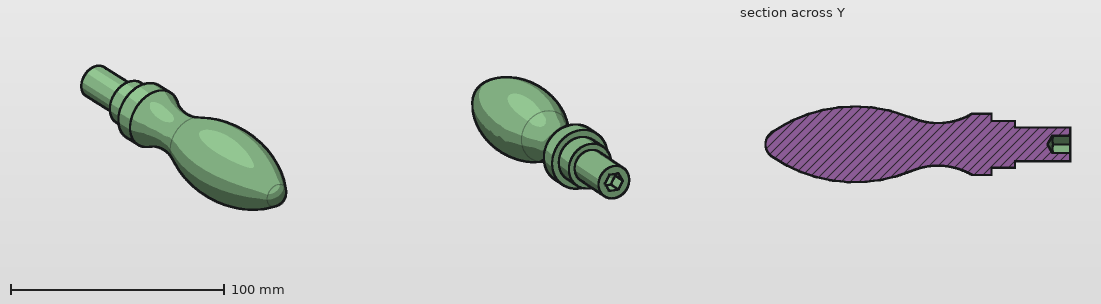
import cadquery as cq
import math

total_length = 143.0
belly_radius = 17.9
belly_x = 101.0

pin_radius = 8.0
pin_length = 25.9
shoulder_radius = 11.0
shoulder_end = 36.9
collar_radius = 14.5

neck_x = 62.0
neck_radius = 10.0
neck_curve = 31.5

socket_flats = 8.0
socket_depth = 8.0
socket_tip_angle = 120.0


def handle_body():
    """Revolve the stepped shank and the tangent neck, belly and tip arcs."""
    neck_center_r = neck_radius + neck_curve
    collar_drop = neck_center_r - collar_radius
    collar_end = neck_x - math.sqrt(neck_curve**2 - collar_drop**2)

    span = belly_x - neck_x
    rise = neck_center_r - belly_radius
    belly_curve = (span**2 + rise**2 - neck_curve**2) / (2 * (neck_curve - rise))
    belly_center_r = belly_radius - belly_curve
    blend = neck_curve / (neck_curve + belly_curve)
    blend_x = neck_x + span * blend
    blend_r = neck_center_r + (belly_center_r - neck_center_r) * blend

    reach = total_length - belly_x
    tip_radius = (belly_curve**2 - belly_center_r**2 - reach**2) / (2 * (belly_curve - reach))
    tip_center_x = total_length - tip_radius
    tip_angle = math.atan2(-belly_center_r, tip_center_x - belly_x)
    tip_start = (
        tip_center_x + tip_radius * math.cos(tip_angle),
        tip_radius * math.sin(tip_angle),
    )
    tip_middle = (
        tip_center_x + tip_radius * math.cos(tip_angle / 2),
        tip_radius * math.sin(tip_angle / 2),
    )

    return (
        cq.Workplane("XY")
        .moveTo(0, 0)
        .lineTo(0, pin_radius)
        .lineTo(pin_length, pin_radius)
        .lineTo(pin_length, shoulder_radius)
        .lineTo(shoulder_end, shoulder_radius)
        .lineTo(shoulder_end, collar_radius)
        .lineTo(collar_end, collar_radius)
        .threePointArc((neck_x, neck_radius), (blend_x, blend_r))
        .threePointArc((belly_x, belly_radius), tip_start)
        .threePointArc(tip_middle, (total_length, 0))
        .close()
        .revolve(360, (0, 0, 0), (1, 0, 0))
    )


def hex_socket():
    """Hexagonal prism with a drill-point bottom and corners along Y."""
    corner_diameter = socket_flats / math.cos(math.pi / 6)
    corner_radius = corner_diameter / 2
    tip_depth = socket_depth + corner_radius / math.tan(math.radians(socket_tip_angle / 2))
    prism = cq.Workplane("YZ").polygon(6, corner_diameter).extrude(tip_depth)
    drill = (
        cq.Workplane("XY")
        .polyline([(0, 0), (0, corner_radius), (socket_depth, corner_radius), (tip_depth, 0)])
        .close()
        .revolve(360, (0, 0, 0), (1, 0, 0))
    )
    return prism.intersect(drill)


result = handle_body().cut(hex_socket())